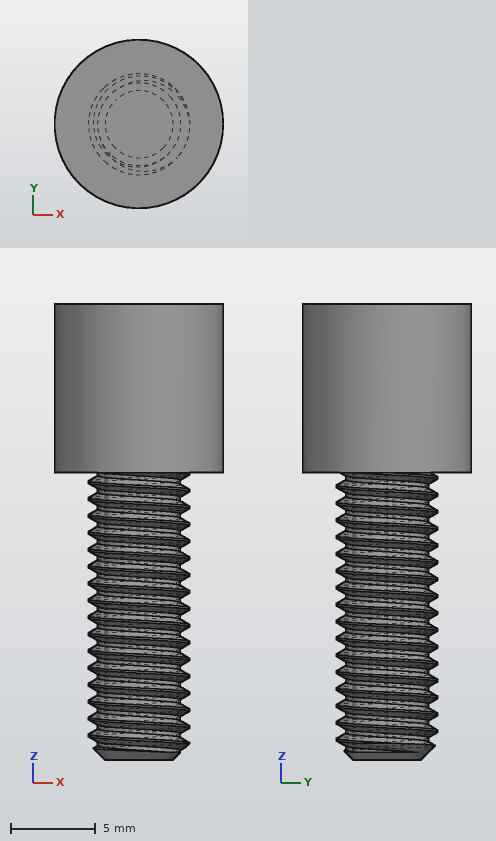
import cadquery as cq
import math

TOTAL_LENGTH = 27.0
HEAD_DIAMETER = 10.0
HEAD_HEIGHT = 10.0
THREAD_DIAMETER = 6.0
THREAD_PITCH = 1.0
TIP_CHAMFER = 1.0
FLANK_HALF_ANGLE = math.radians(30)

STUD_LENGTH = TOTAL_LENGTH - HEAD_HEIGHT
THREAD_RADIUS = THREAD_DIAMETER / 2
CREST_FLAT = THREAD_PITCH / 8
ROOT_FLAT = THREAD_PITCH / 4
GROOVE_MOUTH = THREAD_PITCH - CREST_FLAT
GROOVE_DEPTH = (GROOVE_MOUTH - ROOT_FLAT) / 2 / math.tan(FLANK_HALF_ANGLE)
ROOT_RADIUS = THREAD_RADIUS - GROOVE_DEPTH

CUTTER_OVERHANG = 0.05
GROOVE_PHASE = 0.44


def make_head():
    """Plain cylindrical head."""
    return cq.Workplane("XY").circle(HEAD_DIAMETER / 2).extrude(HEAD_HEIGHT)


def make_groove_turn():
    """One turn of the left-handed trapezoidal groove, starting on the +X side at Z = 0."""
    outer_radius = THREAD_RADIUS + CUTTER_OVERHANG
    half_outer = GROOVE_MOUTH / 2 + CUTTER_OVERHANG * math.tan(FLANK_HALF_ANGLE)
    half_root = ROOT_FLAT / 2
    helix = cq.Wire.makeHelix(THREAD_PITCH, THREAD_PITCH, ROOT_RADIUS, lefthand=True)
    profile = cq.Workplane("XZ").polyline([
        (ROOT_RADIUS, -half_root),
        (outer_radius, -half_outer),
        (outer_radius, half_outer),
        (ROOT_RADIUS, half_root),
    ]).close()
    return profile.sweep(cq.Workplane(helix), isFrenet=True)


def make_stud():
    """Threaded stud with a chamfered tip, butting against the head."""
    stud = cq.Workplane("XY").circle(THREAD_RADIUS).extrude(-STUD_LENGTH)
    stud = stud.faces("<Z").chamfer(TIP_CHAMFER)
    groove_turn = make_groove_turn()
    lowest_turn = -math.ceil(STUD_LENGTH / THREAD_PITCH) - 1
    for turn in range(lowest_turn, 1):
        start_z = (turn + GROOVE_PHASE) * THREAD_PITCH
        stud = stud.cut(groove_turn.translate((0, 0, start_z)))
    return stud


head = make_head()
stud = make_stud()
result = cq.Compound.makeCompound([head.val(), stud.solids().val()])